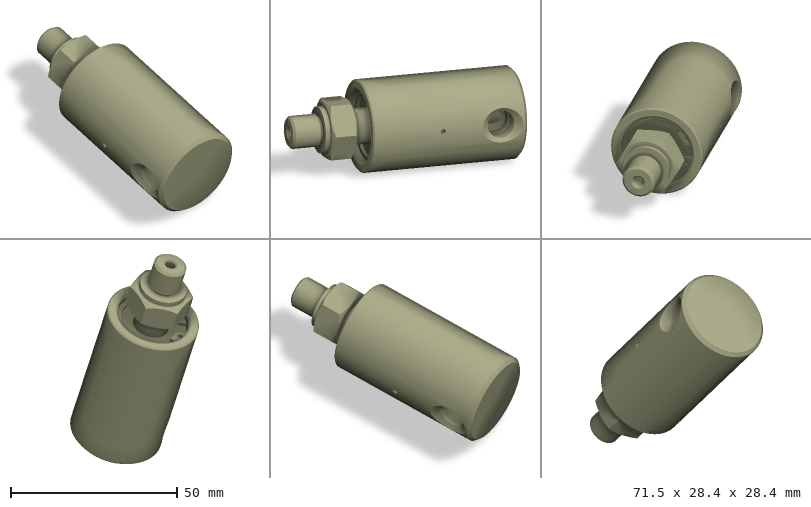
import cadquery as cq
import math


tip_diameter = 10.0
tip_chamfer = 0.7
thread_end = 8.5
relief_diameter = 8.7
relief_start = 9.2
collar_start = 9.4
collar_diameter = 14.3
nut_start = 11.0
nut_end = 19.1
nut_across_flats = 17.0
nut_face_diameter = 16.6
nut_chamfer_angle = 30.0
shaft_diameter = 11.0

bore_diameter = 3.2
bore_depth = 14.3
bore_mouth_diameter = 4.3
drill_half_angle = 59.0

body_start = 22.2
body_end = 71.5
body_diameter = 28.4
front_chamfer = 0.4
rear_chamfer = 1.1

recess_mouth_diameter = 23.3
recess_diameter = 22.1
recess_depth = 3.4

ring_thickness = 1.0
ring_inner_diameter = 19.15
lug_inner_diameter = 15.9
lug_end_angle = 43.2
ring_gap = 4.15
plier_hole_diameter = 1.6
plier_hole_y = -8.85
plier_hole_z = 3.9

port_x = 63.55
port_diameter = 7.9
port_seat_diameter = 8.4
port_seat_depth = 4.5
port_countersink_diameter = 12.8
port_point_depth = 12.3
core_diameter = 7.6

side_hole_x = 44.45
side_hole_diameter = 1.6
side_hole_depth = 1.8


def revolved(profile):
    """Revolve a closed (x, radius) outline about the X axis."""
    return cq.Workplane("XY").polyline(profile).close().revolve(360, (0, 0, 0), (1, 0, 0))


def rod(start, end, diameter):
    """Solid cylinder along X."""
    return cq.Workplane("YZ").workplane(offset=start).circle(diameter / 2).extrude(end - start)


def drill_point_length(diameter):
    """Length of the conical end left by a drill."""
    return diameter / 2 / math.tan(math.radians(drill_half_angle))


def make_stem():
    tip_radius = tip_diameter / 2
    profile = [
        (0, 0),
        (0, tip_radius - tip_chamfer),
        (tip_chamfer, tip_radius),
        (thread_end, tip_radius),
        (relief_start, relief_diameter / 2),
        (collar_start, relief_diameter / 2),
        (collar_start, collar_diameter / 2),
        (nut_start, collar_diameter / 2),
        (nut_start, shaft_diameter / 2),
        (body_start + recess_depth, shaft_diameter / 2),
        (body_start + recess_depth, 0),
    ]
    return revolved(profile)


def make_nut():
    """Hexagon with flats facing +Z and -Z and both ends turned conical."""
    flat_radius = nut_across_flats / 2
    corner_radius = flat_radius / math.cos(math.radians(30))
    face_radius = nut_face_diameter / 2
    chamfer_length = (corner_radius - face_radius) * math.tan(math.radians(nut_chamfer_angle))
    hexagon = (
        cq.Workplane("YZ")
        .workplane(offset=nut_start)
        .polygon(6, 2 * corner_radius)
        .extrude(nut_end - nut_start)
    )
    envelope = revolved([
        (nut_start, 0),
        (nut_start, face_radius),
        (nut_start + chamfer_length, corner_radius),
        (nut_end - chamfer_length, corner_radius),
        (nut_end, face_radius),
        (nut_end, 0),
    ])
    return hexagon.intersect(envelope)


def make_body():
    radius = body_diameter / 2
    mouth_radius = recess_mouth_diameter / 2
    recess_radius = recess_diameter / 2
    floor = body_start + recess_depth
    return revolved([
        (floor, 0),
        (floor, recess_radius),
        (body_start + mouth_radius - recess_radius, recess_radius),
        (body_start, mouth_radius),
        (body_start, radius - front_chamfer),
        (body_start + front_chamfer, radius),
        (body_end - rear_chamfer, radius),
        (body_end, radius - rear_chamfer),
        (body_end, 0),
    ])


def make_retaining_ring():
    """Ring split on its -Y side, with a wide lug and a plier hole at each end."""
    ring_end = body_start + recess_depth
    ring_start = ring_end - ring_thickness
    ring = rod(ring_start, ring_end, recess_diameter)
    ring = ring.cut(rod(ring_start, ring_end, ring_inner_diameter))

    lug_disc = rod(ring_start, ring_end, recess_diameter)
    lug_disc = lug_disc.cut(rod(ring_start, ring_end, lug_inner_diameter))
    edge_z = recess_diameter * math.tan(math.radians(lug_end_angle))
    lug_sector = (
        cq.Workplane("YZ")
        .workplane(offset=ring_start)
        .polyline([(0, 0), (-recess_diameter, edge_z), (-recess_diameter, -edge_z)])
        .close()
        .extrude(ring_thickness)
    )
    gap = cq.Workplane("XY").box(ring_thickness, recess_diameter, ring_gap).translate(
        (ring_start + ring_thickness / 2, -recess_diameter / 2, 0)
    )
    plier_holes = (
        cq.Workplane("YZ")
        .workplane(offset=ring_start)
        .pushPoints([(plier_hole_y, plier_hole_z), (plier_hole_y, -plier_hole_z)])
        .circle(plier_hole_diameter / 2)
        .extrude(ring_thickness)
    )
    return ring.union(lug_disc.intersect(lug_sector)).cut(gap).cut(plier_holes)


def make_tip_bore():
    """Blind drilled hole with a chamfered mouth and a conical end."""
    radius = bore_diameter / 2
    mouth_radius = bore_mouth_diameter / 2
    return revolved([
        (0, 0),
        (0, mouth_radius),
        (mouth_radius - radius, radius),
        (bore_depth, radius),
        (bore_depth + drill_point_length(bore_diameter), 0),
    ])


def make_port():
    """Countersunk, stepped and drilled port from the -Y side, ending on the core."""
    radius = port_diameter / 2
    seat_radius = port_seat_diameter / 2
    sink_radius = port_countersink_diameter / 2
    surface = body_diameter / 2
    seat_top = surface - (sink_radius - seat_radius)
    seat_bottom = seat_top - port_seat_depth
    cone_tip = surface - port_point_depth
    profile = [
        (0, -surface),
        (sink_radius, -surface),
        (seat_radius, -seat_top),
        (seat_radius, -seat_bottom),
        (radius, -seat_bottom),
        (radius, -cone_tip - drill_point_length(port_diameter)),
        (0, -cone_tip),
    ]
    port = cq.Workplane("XY").polyline(profile).close().revolve(360, (0, 0, 0), (0, 1, 0))
    port = port.translate((port_x, 0, 0))
    return port.cut(rod(body_start, body_end, core_diameter))


def make_side_hole():
    return (
        cq.Workplane("XZ")
        .workplane(offset=body_diameter / 2 - side_hole_depth)
        .center(side_hole_x, 0)
        .circle(side_hole_diameter / 2)
        .extrude(side_hole_depth)
    )


result = (
    make_body()
    .union(make_stem())
    .union(make_nut())
    .union(make_retaining_ring())
    .cut(make_tip_bore())
    .cut(make_port())
    .cut(make_side_hole())
)